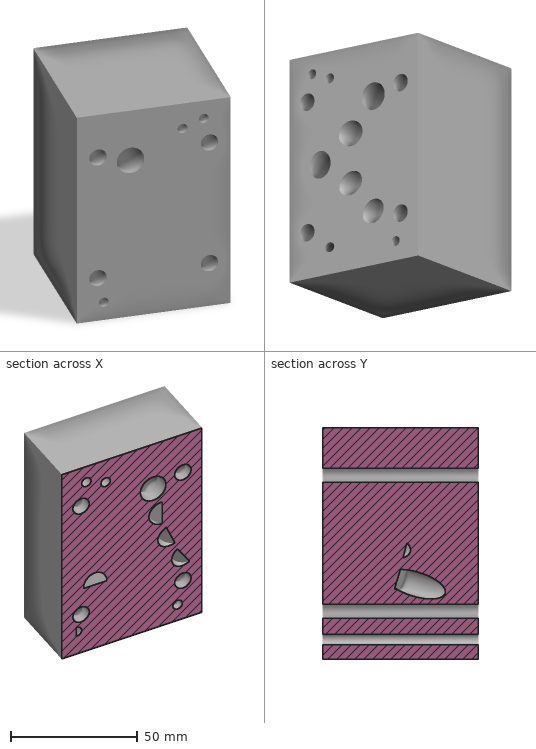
import cadquery as cq
import math

depth = 62.0
width = 63.5
height = 92.1

bolt_diameter = 7.2
bolt_y = 23.0
bolt_z = 27.0
tank_diameter = 11.3
pin_diameter = 4.05

tank_y = -9.6
tank_z = 23.8
working_port_y = 1.6
working_port_z = 10.3
pressure_port_y = 16.7
inner_pin_y = 11.9
inner_pin_z = 34.9
outer_pin_y = 20.6
outer_pin_z = 38.1

bolt_points = [(y, z) for y in (-bolt_y, bolt_y) for z in (-bolt_z, bolt_z)]
pin_points = [
    (outer_pin_y, outer_pin_z),
    (inner_pin_y, inner_pin_z),
    (-outer_pin_y, -outer_pin_z),
]

angled_bores = [
    (working_port_y, working_port_z, 10.5, 26.1, 180),
    (working_port_y, -working_port_z, 9.6, 33.6, 157),
    (pressure_port_y, 0, 10.3, 24.8, -90),
    (tank_y, -tank_z, 9.5, 28.2, 145.5),
    (inner_pin_y, -inner_pin_z, pin_diameter, 23.0, 0),
]
bore_reach = depth / 2


def straight_hole(y, z, diameter):
    """Cylinder along X through the full depth of the block."""
    start = cq.Vector(-depth / 2, y, z)
    return cq.Solid.makeCylinder(diameter / 2, depth, start, cq.Vector(1, 0, 0))


def angled_bore(y, z, diameter, tilt, heading):
    """Tilted cylinder whose axis enters the -X face at (y, z) and stops inside the block."""
    tilt = math.radians(tilt)
    heading = math.radians(heading)
    direction = cq.Vector(
        math.cos(tilt),
        math.sin(tilt) * math.cos(heading),
        math.sin(tilt) * math.sin(heading),
    )
    lead_in = diameter
    start = cq.Vector(-depth / 2, y, z) - direction * lead_in
    length = lead_in + bore_reach / math.cos(tilt)
    return cq.Solid.makeCylinder(diameter / 2, length, start, direction)


holes = [straight_hole(y, z, bolt_diameter) for y, z in bolt_points]
holes += [straight_hole(y, z, pin_diameter) for y, z in pin_points]
holes.append(straight_hole(tank_y, tank_z, tank_diameter))
holes += [angled_bore(*bore) for bore in angled_bores]

result = cq.Workplane("XY").box(depth, width, height)
for hole in holes:
    result = result.cut(cq.Workplane(hole))